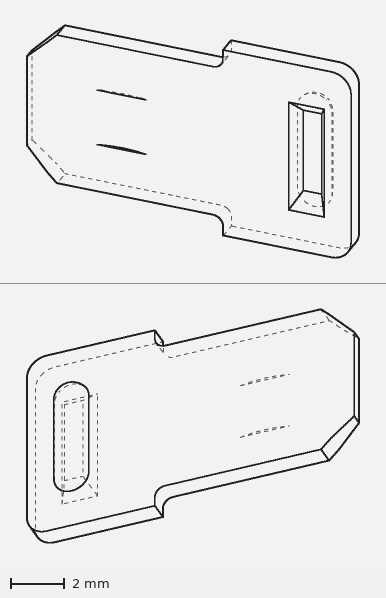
import cadquery as cq

length = 13.08
head_height = 7.93
tongue_height = 6.33
thickness = 0.8
head_start = 7.94
head_corner_radius = 0.8
neck_fillet_radius = 0.4

tip_chamfer = 1.27
bevel_length = 0.88
bevel_depth = 0.16

dimple_center_x = 3.86
dimple_width = 1.95
dimple_height = 2.33
dimple_depth = 0.12

rib_center_x = 11.29
rib_straight_length = 3.43
rib_radius = 0.7
rib_projection = 0.6
recess_width = 1.43
recess_height = 4.6
recess_floor_width = 0.73
recess_depth = 0.6


def make_plate():
    """Stepped plate with a pointed tongue and a wider rounded head."""
    tongue_half = tongue_height / 2
    head_half = head_height / 2
    tip_half = tongue_half - tip_chamfer
    outline = [
        (0, -tip_half),
        (tip_chamfer, -tongue_half),
        (head_start, -tongue_half),
        (head_start, -head_half),
        (length, -head_half),
        (length, head_half),
        (head_start, head_half),
        (head_start, tongue_half),
        (tip_chamfer, tongue_half),
        (0, tip_half),
    ]
    plate = cq.Workplane("XZ").polyline(outline).close().extrude(-thickness)
    plate = plate.edges("|Y and >X").fillet(head_corner_radius)
    for neck_z in (-tongue_half, tongue_half):
        neck_edge = cq.selectors.NearestToPointSelector((head_start, thickness / 2, neck_z))
        plate = plate.edges("|Y").edges(neck_edge).fillet(neck_fillet_radius)
    return plate


def make_tip_bevels():
    """Wedges that thin the tip from the front and back faces."""
    front = (
        cq.Workplane("XY")
        .polyline([(0, 0), (bevel_length, 0), (0, bevel_depth)])
        .close()
        .extrude(tongue_height / 2, both=True)
    )
    back = front.mirror("XZ").translate((0, thickness, 0))
    return front.union(back)


def make_dimple():
    """Cylinder segment whose axis runs along Z."""
    half_width = dimple_width / 2
    return (
        cq.Workplane("XY")
        .moveTo(dimple_center_x - half_width, 0)
        .threePointArc((dimple_center_x, dimple_depth), (dimple_center_x + half_width, 0))
        .close()
        .extrude(dimple_height / 2, both=True)
    )


def make_rib():
    """Round bar with spherical ends, kept only behind the back face."""
    axis_y = thickness + rib_projection - rib_radius
    half_straight = rib_straight_length / 2
    bar = (
        cq.Workplane("XY")
        .center(rib_center_x, axis_y)
        .circle(rib_radius)
        .extrude(half_straight, both=True)
    )
    for end_z in (-half_straight, half_straight):
        ball = cq.Workplane("XY").sphere(rib_radius)
        bar = bar.union(ball.translate((rib_center_x, axis_y, end_z)))
    behind_plate = (
        cq.Workplane("XZ", origin=(rib_center_x, thickness, 0))
        .rect(2 * rib_radius, rib_straight_length + 2 * rib_radius)
        .extrude(-rib_projection)
    )
    return bar.intersect(behind_plate)


def make_recess():
    """Pocket with four sloping walls down to a flat floor."""
    return (
        cq.Workplane("XZ", origin=(rib_center_x, 0, 0))
        .rect(recess_width, recess_height)
        .workplane(offset=-recess_depth)
        .rect(recess_floor_width, rib_straight_length)
        .loft()
    )


result = (
    make_plate()
    .cut(make_tip_bevels())
    .cut(make_dimple())
    .union(make_rib())
    .cut(make_recess())
)